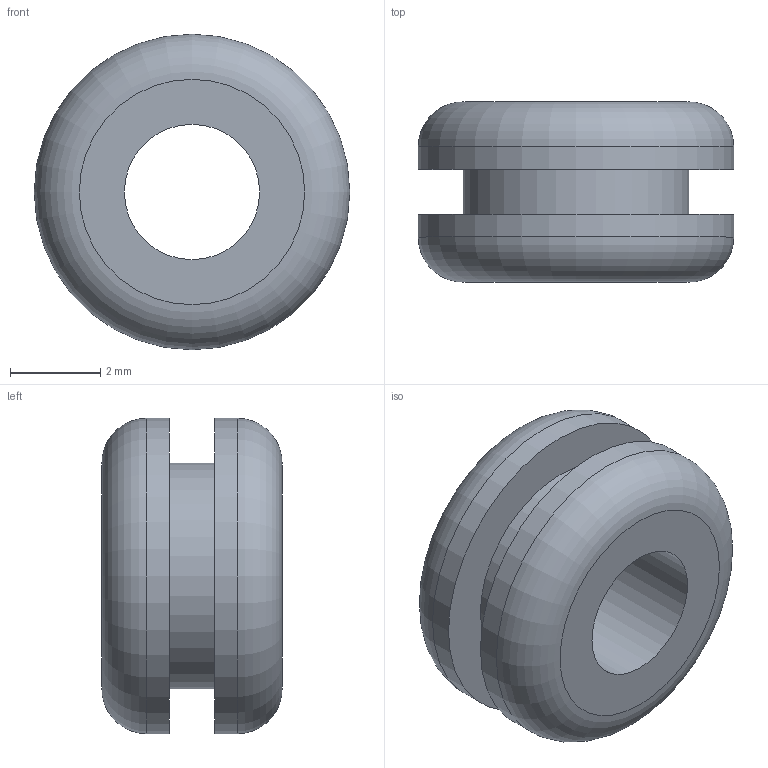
import cadquery as cq

outer_diameter = 7.0
groove_diameter = 5.0
bore_diameter = 3.0
width = 4.0
groove_width = 1.0
rim_radius = 1.0

bore_depth_margin = 1.0


def disc(diameter, length):
    """Cylinder along Y, centred on the origin."""
    return cq.Workplane("XZ", origin=(0, length / 2, 0)).circle(diameter / 2).extrude(length)


def rounded_body():
    """Full-width body with both outer rims rounded."""
    return disc(outer_diameter, width).faces("<Y or >Y").edges().fillet(rim_radius)


def panel_groove():
    """Ring of material removed around the middle to seat the panel edge."""
    cutter_diameter = 2 * outer_diameter
    return disc(cutter_diameter, groove_width).cut(disc(groove_diameter, groove_width))


def cable_bore():
    """Cutter for the through hole, running past both end faces."""
    return disc(bore_diameter, width + 2 * bore_depth_margin)


result = rounded_body().cut(panel_groove()).cut(cable_bore())